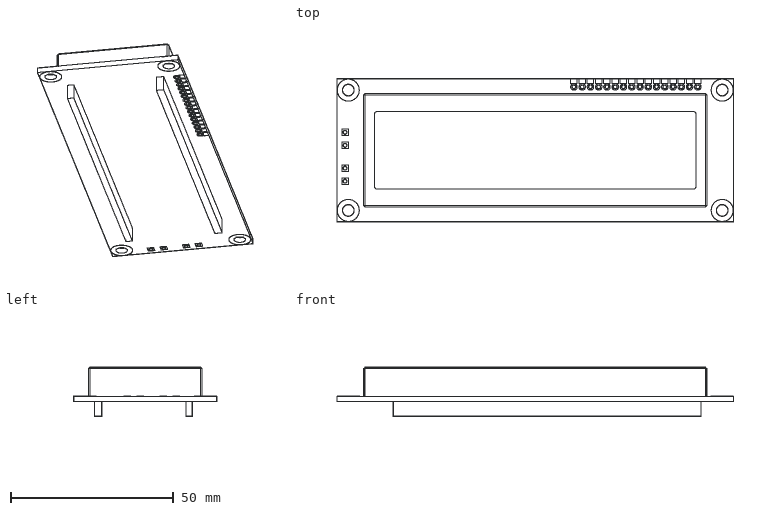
import cadquery as cq

board_length = 122.0
board_width = 44.0
total_height = 15.2

board_thickness = 1.6
copper_thickness = 0.05

mount_hole_diameter = 3.5
mount_pad_diameter = 6.76
mount_hole_inset = 3.5

pin_hole_diameter = 1.1
backlight_pad_size = 2.0
header_pad_diameter = 2.0

header_pin_count = 16
header_pitch = 2.54
header_center_x = 30.95
header_edge_inset = 2.5
header_y = board_width / 2 - header_edge_inset
contact_width = 2.0
contact_length = 1.5

backlight_edge_inset = 2.5
backlight_x = backlight_edge_inset - board_length / 2
backlight_pair_centers_y = (3.5, -7.5)
backlight_pin_spacing = 4.0

bezel_length = 105.6
bezel_width = 35.0
bezel_edge_chamfer = 0.5

window_length = 99.0
window_width = 23.9
window_corner_radius = 1.0
window_depth = 0.1

bar_length = 94.8
bar_height = 4.6
bar_center_x = 3.65
rear_bar_width = 2.3
rear_bar_y = 14.5
front_bar_width = 2.0
front_bar_y = -13.5

bezel_height = total_height - bar_height - board_thickness
copper_stack = board_thickness + 2 * copper_thickness

mount_points = [
    (side_x * (board_length / 2 - mount_hole_inset), side_y * (board_width / 2 - mount_hole_inset))
    for side_x in (-1, 1)
    for side_y in (-1, 1)
]
header_points = [
    (header_center_x + (i - (header_pin_count - 1) / 2) * header_pitch, header_y)
    for i in range(header_pin_count)
]
backlight_points = [
    (backlight_x, pair_y + side * backlight_pin_spacing / 2)
    for pair_y in backlight_pair_centers_y
    for side in (-1, 1)
]


def make_board():
    return cq.Workplane("XY").box(board_length, board_width, board_thickness, centered=(True, True, False))


def copper_plane():
    """Workplane at the outer face of the copper under the board."""
    return cq.Workplane("XY").workplane(offset=-copper_thickness)


def make_mount_pads():
    return copper_plane().pushPoints(mount_points).circle(mount_pad_diameter / 2).extrude(copper_stack)


def make_backlight_pads():
    pads = copper_plane().pushPoints(backlight_points)
    return pads.rect(backlight_pad_size, backlight_pad_size).extrude(copper_stack)


def make_header_pads():
    return copper_plane().pushPoints(header_points).circle(header_pad_diameter / 2).extrude(copper_stack)


def make_header_contacts():
    contact_y = (board_width - contact_length) / 2
    contact_points = [(x, contact_y) for x, _ in header_points]
    return copper_plane().pushPoints(contact_points).rect(contact_width, contact_length).extrude(copper_stack)


def make_bezel():
    bezel = (
        cq.Workplane("XY", origin=(0, 0, board_thickness))
        .box(bezel_length, bezel_width, bezel_height, centered=(True, True, False))
        .edges("|Z or >Z")
        .chamfer(bezel_edge_chamfer)
    )
    window = (
        cq.Workplane("XY", origin=(0, 0, board_thickness + bezel_height - window_depth))
        .box(window_length, window_width, window_depth, centered=(True, True, False))
        .edges("|Z")
        .fillet(window_corner_radius)
    )
    return bezel.cut(window)


def make_bar(center_y, width):
    return (
        cq.Workplane("XY", origin=(bar_center_x, center_y, -bar_height))
        .box(bar_length, width, bar_height, centered=(True, True, False))
    )


def drill(body, points, diameter):
    holes = copper_plane().pushPoints(points).circle(diameter / 2).extrude(copper_stack)
    return body.cut(holes)


result = (
    make_board()
    .union(make_mount_pads())
    .union(make_backlight_pads())
    .union(make_header_pads())
    .union(make_header_contacts())
    .union(make_bezel())
    .union(make_bar(rear_bar_y, rear_bar_width))
    .union(make_bar(front_bar_y, front_bar_width))
)
result = drill(result, mount_points, mount_hole_diameter)
result = drill(result, header_points + backlight_points, pin_hole_diameter)